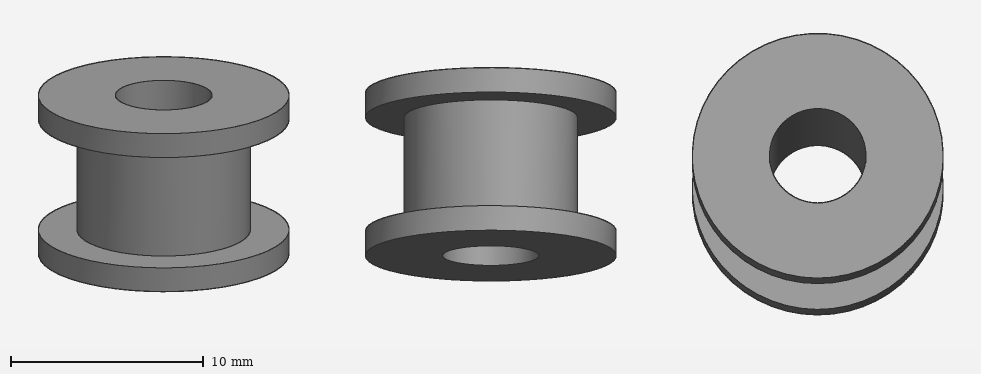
import cadquery as cq

flange_diameter = 13.0
core_diameter = 9.0
bore_diameter = 5.0
total_height = 8.6
flange_thickness = 1.3


def disc(diameter, height, base_z):
    """Solid disc standing on base_z, centred on the Z axis."""
    return cq.Workplane("XY").workplane(offset=base_z).circle(diameter / 2).extrude(height)


bottom_flange = disc(flange_diameter, flange_thickness, 0)
top_flange = disc(flange_diameter, flange_thickness, total_height - flange_thickness)
core = disc(core_diameter, total_height, 0)
bore = disc(bore_diameter, total_height, 0)

result = core.union(bottom_flange).union(top_flange).cut(bore)